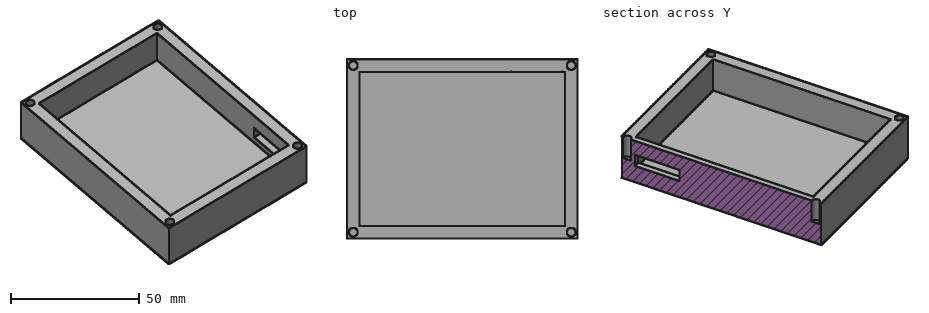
import cadquery as cq

length = 90.0
width = 70.0
height = 20.0

cavity_length = 80.0
cavity_width = 60.0
wall = (length - cavity_length) / 2
floor_thickness = 5.0

hole_diameter = 3.4
hole_depth = 10.0
hole_inset = wall / 2

opening_length = 20.0
opening_height = 5.0
opening_center_x = 29.0
opening_above_floor = 3.0
opening_bottom = floor_thickness + opening_above_floor


def make_tray():
    body = cq.Workplane("XY").box(length, width, height, centered=(True, True, False))
    cavity = (
        cq.Workplane("XY", origin=(0, 0, floor_thickness))
        .box(cavity_length, cavity_width, height, centered=(True, True, False))
    )
    return body.cut(cavity)


def make_corner_holes():
    return (
        cq.Workplane("XY", origin=(0, 0, height))
        .rect(length - 2 * hole_inset, width - 2 * hole_inset, forConstruction=True)
        .vertices()
        .circle(hole_diameter / 2)
        .extrude(-hole_depth)
    )


def make_wall_opening():
    opening_center_y = width / 2 - wall / 2
    return (
        cq.Workplane("XY", origin=(opening_center_x, opening_center_y, opening_bottom))
        .box(opening_length, 2 * wall, opening_height, centered=(True, True, False))
    )


result = make_tray().cut(make_corner_holes()).cut(make_wall_opening())